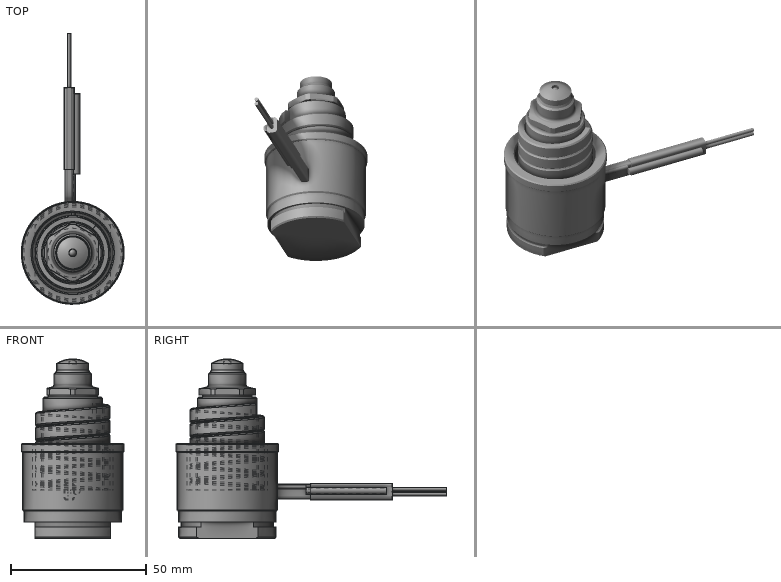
import cadquery as cq
import math

base_top = 4.2
neck_top = 6.1
ring_top = 10.1
flange_bottom = 31.8
flange_top = 35.1
core_top = 52.2
washer_top = 52.9
nut_rim = 55.25
nut_crown = 55.85
shank_top = 60.7
tip_foot = 61.3
tip_bottom = 62.2
dome_rim = 64.6
dome_apex = 66.3

ring_radius = 18.0
neck_radius = 17.0
body_radius = 18.5
flange_radius = 19.0
edge_chamfer = 0.5
flange_chamfer = 0.4
flat_distance = 14.0

recess_radius = 14.9
recess_floor = 18.0
core_radius = 11.0

spring_inner = 11.5
spring_outer = 13.8
spring_pitch = 5.3
spring_gap = 0.2
spring_chamfer = 0.5
spring_turns = 6
spring_end_angle = 50.0
spring_end_top = 49.9

washer_radius = 9.1
nut_width = 19.0
nut_radius = 10.5
hexagon_half_angle = 30
crown_radius = 7.9
shank_radius = 7.0
tip_foot_radius = 6.3
tip_radius = 5.9
bore_radius = 1.4
bore_ball_gap = 0.4

cable_x = -1.3
cable_z = 17.3
cable_width = 3.1
cable_height = 5.5
cable_fillet = 0.7
cable_start = 16.0
sleeve_wall = 0.35
sleeve_start = 30.8
sleeve_end = 61.0
wire_radius = 0.7
wire_spacing = 1.8
wire_end = 81.0

lead_radius = 0.75
lead_x = 0.25
lead_z = 19.1
splice_radius = 1.3
splice_x = 1.4
splice_z = 17.6
splice_start = 29.1
splice_end = 58.8


def disc(radius, bottom, top):
    return cq.Workplane("XY").workplane(offset=bottom).circle(radius).extrude(top - bottom)


def rod(radius, x, z, start, end):
    """Round bar along Y."""
    plane = cq.Workplane("XZ", origin=(x, start, z))
    return plane.circle(radius).extrude(start - end)


def rounded_bar(width, height, fillet, start, end):
    """Bar along Y on the cable line with rounded long edges."""
    plane = cq.Workplane("XZ", origin=(cable_x, start, cable_z))
    return plane.rect(width, height).extrude(start - end).edges("|Y").fillet(fillet)


def make_foot():
    """Base disc and narrower neck with two opposite wrench flats."""
    base = disc(ring_radius, 0, base_top).faces("<Z").chamfer(edge_chamfer)
    foot = base.union(disc(neck_radius, base_top, neck_top))
    across_flats = cq.Workplane("XY").rect(2 * flat_distance, 2 * flange_radius).extrude(neck_top)
    return foot.intersect(across_flats)


def make_housing():
    """Ring, body and flange, with the deep annular recess cut from the top."""
    housing = disc(ring_radius, neck_top, ring_top)
    housing = housing.union(disc(body_radius, ring_top, flange_bottom).faces("<Z").chamfer(edge_chamfer))
    flange = disc(flange_radius, flange_bottom, flange_top).faces("<Z or >Z").chamfer(flange_chamfer)
    bore = disc(recess_radius, recess_floor, flange_top)
    housing = housing.union(flange).cut(bore)
    mouth = cq.selectors.RadiusNthSelector(0)
    return housing.faces(">Z").edges(mouth).chamfer(edge_chamfer)


def make_spring():
    """Right-handed flat-wire helix rising out of the recess floor."""
    height = spring_pitch - spring_gap
    rise = spring_pitch * spring_turns
    start_bottom = spring_end_top - rise - height
    middle = (spring_inner + spring_outer) / 2
    section = (
        cq.Sketch()
        .rect(spring_outer - spring_inner, height)
        .vertices(">X")
        .chamfer(spring_chamfer)
    )
    path = cq.Wire.makeHelix(spring_pitch, rise, middle)
    spring = (
        cq.Workplane("XZ", origin=(middle, 0, 0))
        .placeSketch(section)
        .sweep(cq.Workplane(obj=path), isFrenet=True)
    )
    spring = spring.translate((0, 0, start_bottom + height / 2))
    return spring.rotate((0, 0, 0), (0, 0, 1), spring_end_angle)


def make_nut():
    """Hexagon with flats facing +X and -X, its corners turned and its top coned."""
    corner_diameter = nut_width / math.cos(math.radians(hexagon_half_angle))
    hexagon = (
        cq.Workplane("XY")
        .workplane(offset=washer_top)
        .transformed(rotate=(0, 0, hexagon_half_angle))
        .polygon(6, corner_diameter)
        .extrude(nut_crown - washer_top)
    )
    envelope = (
        cq.Workplane("XZ")
        .moveTo(0, washer_top)
        .lineTo(nut_radius, washer_top)
        .lineTo(nut_radius, nut_rim)
        .lineTo(crown_radius, nut_crown)
        .lineTo(0, nut_crown)
        .close()
        .revolve(360, (0, 0, 0), (0, 1, 0))
    )
    return hexagon.intersect(envelope)


def make_tip():
    """Turned shank above the nut, ending in a dome with a ball sunk in its central bore."""
    dome_height = dome_apex - dome_rim
    dome_radius = (tip_radius**2 + dome_height**2) / (2 * dome_height)
    mid_radius = tip_radius / 2
    mid_height = dome_apex - dome_radius + math.sqrt(dome_radius**2 - mid_radius**2)
    shank_bottom = nut_crown + crown_radius - shank_radius
    tip = (
        cq.Workplane("XZ")
        .moveTo(0, nut_crown)
        .lineTo(crown_radius, nut_crown)
        .radiusArc((shank_radius, shank_bottom), crown_radius - shank_radius)
        .lineTo(shank_radius, shank_top)
        .lineTo(tip_foot_radius, tip_foot)
        .lineTo(tip_radius, tip_bottom)
        .lineTo(tip_radius, dome_rim)
        .threePointArc((mid_radius, mid_height), (0, dome_apex))
        .close()
        .revolve(360, (0, 0, 0), (0, 1, 0))
    )
    ball_top = dome_apex - bore_ball_gap
    ball = cq.Workplane("XY").sphere(bore_radius).translate((0, 0, ball_top - bore_radius))
    return tip.cut(disc(bore_radius, ball_top - bore_radius, dome_apex)).union(ball)


def make_cable():
    """Flat cable, sleeve over its end and two wires stacked in Z."""
    cable = rounded_bar(cable_width, cable_height, cable_fillet, cable_start, sleeve_start)
    sleeve = rounded_bar(
        cable_width + 2 * sleeve_wall,
        cable_height + 2 * sleeve_wall,
        cable_fillet + sleeve_wall,
        sleeve_start,
        sleeve_end,
    )
    cable = cable.union(sleeve)
    for side in (-1, 1):
        wire_z = cable_z + side * wire_spacing / 2
        cable = cable.union(rod(wire_radius, cable_x, wire_z, sleeve_end, wire_end))
    return cable


def make_lead():
    """Lead crossing the housing wall and the splice it ends in."""
    lead = rod(lead_radius, lead_x, lead_z, spring_outer, splice_start)
    return lead.union(rod(splice_radius, splice_x, splice_z, splice_start, splice_end))


core = disc(core_radius, recess_floor, core_top).faces(">Z").chamfer(edge_chamfer)
washer = disc(washer_radius, core_top, washer_top)

result = (
    make_foot()
    .union(make_housing())
    .union(core)
    .union(make_spring())
    .union(washer)
    .union(make_nut())
    .union(make_tip())
    .union(make_cable())
    .union(make_lead())
)